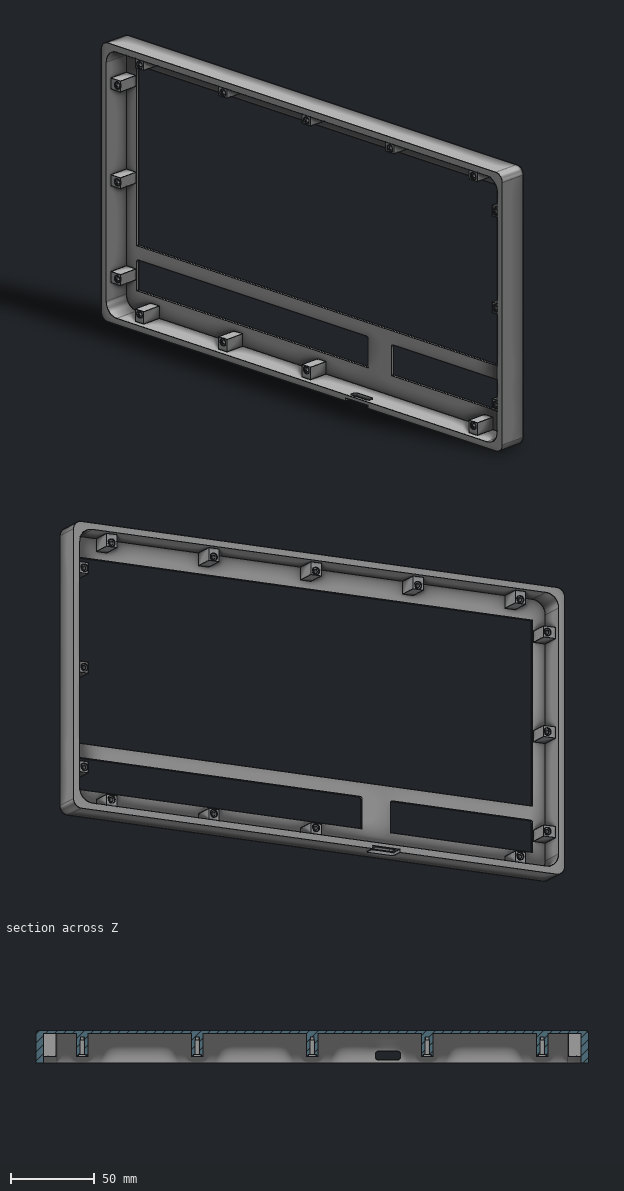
import cadquery as cq

WIDTH = 329.8
DEPTH = 19.5
HEIGHT = 177.8
CAVITY_WIDTH = 321.5
FACE_THICKNESS = 2.0
OUTER_RADIUS = 5.3
INNER_RADIUS = 8.5
FACE_FILLET = 2.0

RIM_Y = -DEPTH / 2
FACE_Y = DEPTH / 2
FACE_INNER_Y = FACE_Y - FACE_THICKNESS
WALL = (WIDTH - CAVITY_WIDTH) / 2
INNER_X = CAVITY_WIDTH / 2
INNER_Z = HEIGHT / 2 - WALL

WINDOW_SIDE = 152.5
WINDOW_TOP = 72.0
MAIN_WINDOW_BOTTOM = -43.2
LOWER_WINDOW_TOP = -52.0
LOWER_WINDOW_BOTTOM = -WINDOW_TOP
LEFT_WINDOW_END = 38.0
RIGHT_WINDOW_START = 57.0
LOWER_WINDOW_RADIUS = 1.5

POST_WIDTH = 7.0
POST_REACH = 8.0
POST_RECESS = 4.0
POST_PITCH_X = 68.5
POST_PITCH_Z = 61.7
HOLE_OFFSET = 5.3
HOLE_STEPS = ((4.5, 1.0), (2.57, 10.0), (2.08, 11.5))

LATCH_X = 45.2
RECESS_LENGTH = 18.0
RECESS_HEIGHT = 2.0
RECESS_DEPTH = 8.5
RECESS_CORNER_RADIUS = 1.0
SLOT_LENGTH = 15.0
SLOT_START = 2.0
SLOT_END = 7.0
SLOT_CORNER_RADIUS = 1.5


def block(x_min, x_max, y_min, y_max, z_min, z_max):
    """Axis-aligned box between the given limits."""
    size = (x_max - x_min, y_max - y_min, z_max - z_min)
    return cq.Workplane("XY").box(*size, centered=False).translate((x_min, y_min, z_min))


def make_shell():
    """Open tray with rounded corners and a fillet around its face."""
    outer = cq.Workplane("XY").box(WIDTH, DEPTH, HEIGHT).edges("|Y").fillet(OUTER_RADIUS)
    outer = outer.faces(">Y").edges().fillet(FACE_FILLET)
    cavity = block(-INNER_X, INNER_X, RIM_Y, FACE_INNER_Y, -INNER_Z, INNER_Z)
    return outer.cut(cavity.edges("|Y").fillet(INNER_RADIUS))


def window(x_min, x_max, z_min, z_max):
    """Cutter for a window through the face plate."""
    return block(x_min, x_max, FACE_INNER_Y, FACE_Y, z_min, z_max)


def cut_windows(body):
    body = body.cut(window(-WINDOW_SIDE, WINDOW_SIDE, MAIN_WINDOW_BOTTOM, WINDOW_TOP))
    for x_min, x_max in ((-WINDOW_SIDE, LEFT_WINDOW_END), (RIGHT_WINDOW_START, WINDOW_SIDE)):
        opening = window(x_min, x_max, LOWER_WINDOW_BOTTOM, LOWER_WINDOW_TOP)
        body = body.cut(opening.edges("|Y and >Z").fillet(LOWER_WINDOW_RADIUS))
    return body


def make_post():
    """Drilled post standing on a floor at Z = 0 and centred on X = 0."""
    end_y = RIM_Y + POST_RECESS
    post = block(-POST_WIDTH / 2, POST_WIDTH / 2, end_y, FACE_INNER_Y, -WALL / 2, POST_REACH)
    end_plane = cq.Workplane("XZ", origin=(0, end_y, HOLE_OFFSET))
    for diameter, depth in HOLE_STEPS:
        post = post.cut(end_plane.circle(diameter / 2).extrude(-depth))
    return post


def add_posts(body):
    post = make_post()
    floor_post = post.translate((0, 0, -INNER_Z))
    ceiling_post = post.rotate((0, 0, 0), (0, 1, 0), 180).translate((0, 0, INNER_Z))
    left_post = post.rotate((0, 0, 0), (0, 1, 0), 90).translate((-INNER_X, 0, 0))
    right_post = post.rotate((0, 0, 0), (0, 1, 0), -90).translate((INNER_X, 0, 0))

    for step in (-2, -1, 0, 1, 2):
        body = body.union(ceiling_post.translate((step * POST_PITCH_X, 0, 0)))
    for step in (-2, -1, 0, 2):
        body = body.union(floor_post.translate((step * POST_PITCH_X, 0, 0)))
    for step in (-1, 0, 1):
        body = body.union(left_post.translate((0, 0, step * POST_PITCH_Z)))
        body = body.union(right_post.translate((0, 0, step * POST_PITCH_Z)))
    return body


def cut_latch(body):
    """Recess under the bottom wall, open at the rim, and a slot up into the cavity."""
    bottom = -HEIGHT / 2
    recess = block(
        LATCH_X - RECESS_LENGTH / 2, LATCH_X + RECESS_LENGTH / 2,
        RIM_Y, RIM_Y + RECESS_DEPTH,
        bottom, bottom + RECESS_HEIGHT,
    )
    slot = block(
        LATCH_X - SLOT_LENGTH / 2, LATCH_X + SLOT_LENGTH / 2,
        RIM_Y + SLOT_START, RIM_Y + SLOT_END,
        bottom, bottom + WALL,
    )
    body = body.cut(recess.edges("|Z and >Y").fillet(RECESS_CORNER_RADIUS))
    return body.cut(slot.edges("|Z").fillet(SLOT_CORNER_RADIUS))


result = cut_latch(add_posts(cut_windows(make_shell())))